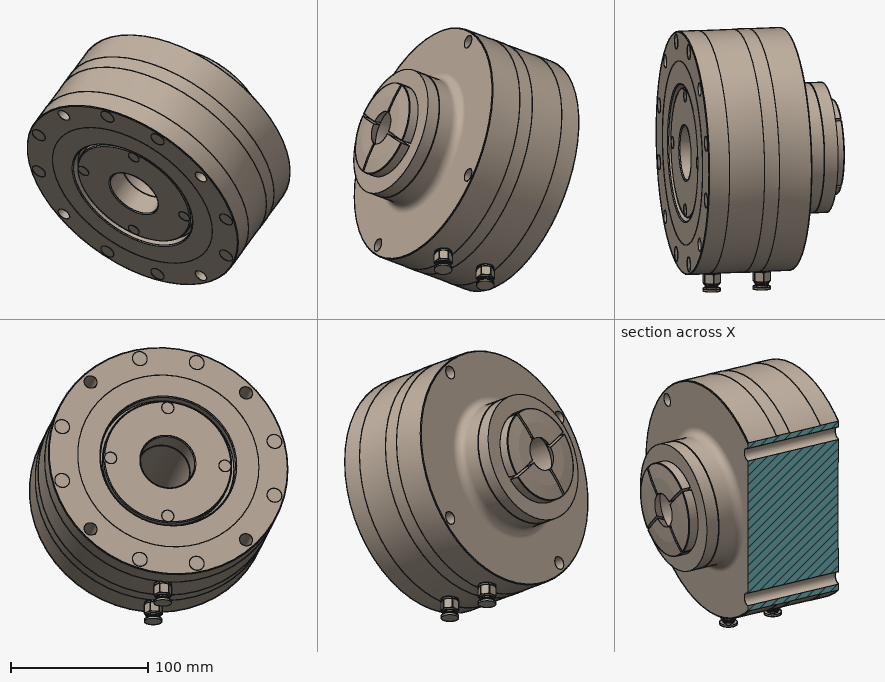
import cadquery as cq
import math

rim_diameter = 177.7
drum_diameter = 177.3
front_ring_back = 15.5
middle_ring_front = 41.6
middle_ring_back = 52.7
drum_back = 77.0
edge_chamfer = 0.5

neck_diameter = 95.0
flare_radius = 6.3
seam_position = 95.5
seam_width = 0.4
seam_depth = 0.2
neck_back = 105.6

nose_diameter = 69.8
nose_shoulder_diameter = 69.0
nose_face_diameter = 48.0
nose_shoulder_back = 113.3
nose_rim_back = 112.7
nose_back = 114.3
slit_width = 2.0
slit_angles = (45, 135)

well_diameter = 100.0
well_chamfer = 1.0
well_depth = 7.7
disc_diameter = neck_diameter
disc_chamfer = 0.8
disc_recess = 2.0

mouth_diameter = 40.0
mouth_chamfer = 0.8
mouth_back = 19.7
bore_diameter = 39.1
taper_end_diameter = 25.0
taper_front = neck_back

mark_depth = 0.2
cover_diameter = 134.4
bolt_circle_diameter = 163.0
bolt_count = 12
first_bolt_angle = 15
hole_angles = (45, 135, 225, 315)
plug_diameter = 11.0
bolt_hole_diameter = 9.5
screw_circle_diameter = 84.7
screw_diameter = 9.0
screw_count = 4

fitting_positions = (21.9, 59.2)
overall_height = 191.7
fitting_seat = -88.0
port_cutter_height = 3.8
collar_diameter = 12.8
nut_top = -89.7
nut_across_flats = 11.9
nut_corner_diameter = 13.5
nut_end_diameter = 12.0
nut_chamfer_height = 0.4
nut_bottom = -97.0
taper_foot_diameter = 11.1
taper_foot = -98.0
throat_diameter = 9.0
lip_top = -99.1
lip_diameter = 9.5
lip_bottom = -99.9
stem_diameter = 8.0
button_diameter = 12.8
button_top = -101.2
fitting_bottom = rim_diameter / 2 - overall_height


def full_turn(profile):
    """Full turn around the workplane's own Y axis."""
    return profile.revolve(360, (0, 0, 0), (0, 1, 0))


def cylinders_along_y(diameter, start, end, places=((0, 0),)):
    """Cylinders from y = start to y = end, centred on (x, z) places."""
    plane = cq.Workplane("XZ", origin=(0, start, 0))
    return plane.pushPoints(places).circle(diameter / 2).extrude(start - end)


def ring_places(circle_diameter, angles):
    """Points (x, z) on a circle around the Y axis."""
    radius = circle_diameter / 2
    return [(radius * math.cos(math.radians(a)), radius * math.sin(math.radians(a))) for a in angles]


def housing_blank():
    """Everything outside, turned around the Y axis."""
    rim = rim_diameter / 2
    drum = drum_diameter / 2
    neck = neck_diameter / 2
    seam = neck - seam_depth
    flare_mid = flare_radius * (1 - math.sqrt(0.5))
    profile = (
        cq.Workplane("XY")
        .lineTo(rim - edge_chamfer, 0)
        .lineTo(rim, edge_chamfer)
        .lineTo(rim, front_ring_back)
        .lineTo(drum, front_ring_back)
        .lineTo(drum, middle_ring_front)
        .lineTo(rim, middle_ring_front)
        .lineTo(rim, middle_ring_back)
        .lineTo(drum, middle_ring_back)
        .lineTo(drum, drum_back - edge_chamfer)
        .lineTo(drum - edge_chamfer, drum_back)
        .lineTo(neck + flare_radius, drum_back)
        .threePointArc((neck + flare_mid, drum_back + flare_mid), (neck, drum_back + flare_radius))
        .lineTo(neck, seam_position - seam_width / 2)
        .lineTo(seam, seam_position - seam_width / 2)
        .lineTo(seam, seam_position + seam_width / 2)
        .lineTo(neck, seam_position + seam_width / 2)
        .lineTo(neck, neck_back)
        .lineTo(nose_diameter / 2, neck_back)
        .lineTo(nose_diameter / 2, nose_rim_back)
        .lineTo(nose_shoulder_diameter / 2, nose_shoulder_back)
        .lineTo(nose_face_diameter / 2, nose_back)
        .lineTo(0, nose_back)
        .close()
    )
    return full_turn(profile)


def front_well():
    """Ring-shaped well with the spindle disc standing in it, a little below the front face."""
    well = well_diameter / 2
    disc = disc_diameter / 2
    profile = (
        cq.Workplane("XY")
        .lineTo(well + well_chamfer, 0)
        .lineTo(well, well_chamfer)
        .lineTo(well, well_depth)
        .lineTo(disc, well_depth)
        .lineTo(disc, disc_recess + disc_chamfer)
        .lineTo(disc - disc_chamfer, disc_recess)
        .lineTo(0, disc_recess)
        .close()
    )
    return full_turn(profile)


def bore():
    mouth = mouth_diameter / 2
    profile = (
        cq.Workplane("XY")
        .moveTo(0, disc_recess)
        .lineTo(mouth + mouth_chamfer, disc_recess)
        .lineTo(mouth, disc_recess + mouth_chamfer)
        .lineTo(mouth, mouth_back)
        .lineTo(bore_diameter / 2, mouth_back)
        .lineTo(bore_diameter / 2, taper_front)
        .lineTo(taper_end_diameter / 2, nose_back)
        .lineTo(0, nose_back)
        .close()
    )
    return full_turn(profile)


def slits():
    """Crossed blades that split the nose into four jaws."""
    length = nose_back - neck_back
    blade = cq.Workplane("XY", origin=(0, neck_back + length / 2, 0)).box(nose_diameter, length, slit_width)
    crossed = cq.Workplane("XY")
    for angle in slit_angles:
        crossed = crossed.union(blade.rotate((0, 0, 0), (0, 1, 0), angle))
    return crossed


def bolt_holes():
    places = ring_places(bolt_circle_diameter, hole_angles)
    return cylinders_along_y(bolt_hole_diameter, 0, drum_back, places)


def plug_marks():
    """Shallow rounds at the bolt places that are not open holes."""
    bolt_angles = [first_bolt_angle + i * 360 / bolt_count for i in range(bolt_count)]
    places = ring_places(bolt_circle_diameter, [a for a in bolt_angles if a not in hole_angles])
    return cylinders_along_y(plug_diameter, 0, mark_depth, places)


def cover_mark():
    return cylinders_along_y(cover_diameter, 0, mark_depth)


def screw_marks():
    places = ring_places(screw_circle_diameter, [i * 360 / screw_count for i in range(screw_count)])
    return cylinders_along_y(screw_diameter, disc_recess, disc_recess + mark_depth, places)


def fitting_port(y):
    """Flat-bottomed seat for the collar of one fitting."""
    seat = cq.Workplane("XY", origin=(0, y, fitting_seat))
    return seat.circle(collar_diameter / 2).extrude(-port_cutter_height)


def make_housing():
    body = housing_blank()
    for cutter in (front_well(), bore(), slits(), bolt_holes(), cover_mark(), plug_marks(), screw_marks()):
        body = body.cut(cutter)
    for y in fitting_positions:
        body = body.cut(fitting_port(y))
    return body


def make_fitting(y):
    """One air fitting: a turned body whose nut is cut to a hexagon."""
    sections = [
        (collar_diameter, fitting_seat),
        (collar_diameter, nut_top),
        (nut_end_diameter, nut_top),
        (nut_corner_diameter, nut_top - nut_chamfer_height),
        (nut_corner_diameter, nut_bottom + nut_chamfer_height),
        (nut_end_diameter, nut_bottom),
        (taper_foot_diameter, taper_foot),
        (throat_diameter, taper_foot),
        (throat_diameter, lip_top),
        (lip_diameter, lip_top),
        (lip_diameter, lip_bottom),
        (stem_diameter, lip_bottom),
        (stem_diameter, button_top),
        (button_diameter, button_top),
        (button_diameter, fitting_bottom),
    ]
    outline = [(0, fitting_seat), *[(d / 2, z) for d, z in sections], (0, fitting_bottom)]
    turned = full_turn(cq.Workplane("XZ").polyline(outline).close())
    nut = cq.Workplane("XY", origin=(0, 0, nut_top))
    nut_height = nut_top - nut_bottom
    hex_across_corners = nut_across_flats / math.cos(math.pi / 6)
    waste = nut.circle(nut_corner_diameter).polygon(6, hex_across_corners).extrude(-nut_height)
    return turned.cut(waste).translate((0, y, 0))


housing = make_housing()
fittings = [make_fitting(y) for y in fitting_positions]
result = cq.Compound.makeCompound([housing.val(), *[f.val() for f in fittings]])